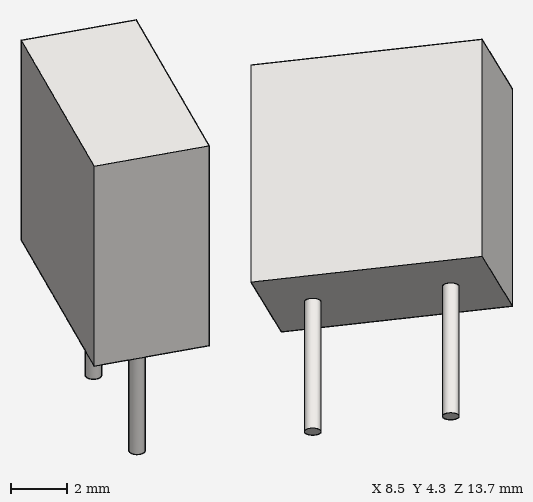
import cadquery as cq

total_height = 13.65
body_width = 8.5
body_depth = 4.3

pin_length = 5.1
pin_diameter = 0.6
pin_pitch = 5.08

body_height = total_height - pin_length


def make_body():
    """Plain rectangular block standing on the XY plane."""
    return cq.Workplane("XY").box(body_width, body_depth, body_height, centered=(True, True, False))


def make_pin(x):
    """Round pin hanging from the underside of the body at the given X."""
    return cq.Workplane("XY").center(x, 0).circle(pin_diameter / 2).extrude(-pin_length)


body = make_body()
pins = [make_pin(side * pin_pitch / 2) for side in (-1, 1)]

result = cq.Compound.makeCompound([body.val(), *(pin.val() for pin in pins)])